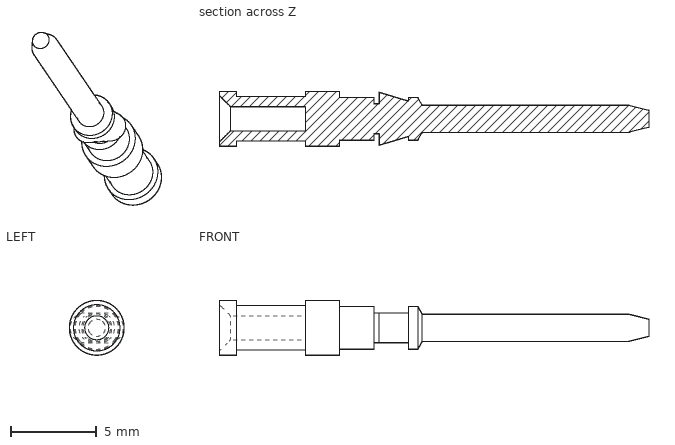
import cadquery as cq


total_length = 25.0
rim_end = 1.0
band_start = 5.0
band_end = 7.0
shoulder_end = 9.0
barb_start = 9.3
collar_start = 11.0
collar_end = 11.55
collar_chamfer_end = 11.8
tip_start = 23.8

rim_radius = 1.6
barrel_radius = 1.3
shoulder_radius = 1.25
neck_radius = 0.875
pin_radius = 0.8
tip_radius = 0.5

bore_radius = 0.7
bore_depth = band_start
lead_in_radius = 1.35
lead_in_depth = lead_in_radius - bore_radius

barb_wide_offset = 0.67
barb_narrow_offset = 0.16


def turn(profile):
    """Revolve a closed (axial, radial) outline about the X axis."""
    return cq.Workplane("XZ").polyline(profile).close().revolve(360, (0, 0, 0), (1, 0, 0))


def make_body():
    return turn([
        (0, 0),
        (0, rim_radius),
        (rim_end, rim_radius),
        (rim_end, barrel_radius),
        (band_start, barrel_radius),
        (band_start, rim_radius),
        (band_end, rim_radius),
        (band_end, shoulder_radius),
        (shoulder_end, shoulder_radius),
        (shoulder_end, neck_radius),
        (collar_start, neck_radius),
        (collar_start, shoulder_radius),
        (collar_end, shoulder_radius),
        (collar_chamfer_end, pin_radius),
        (tip_start, pin_radius),
        (total_length, tip_radius),
        (total_length, 0),
    ])


def make_bore():
    return turn([
        (0, 0),
        (0, lead_in_radius),
        (lead_in_depth, bore_radius),
        (bore_depth, bore_radius),
        (bore_depth, 0),
    ])


def make_barb():
    """Flat-topped barb with rounded sides, as thick as the neck and narrowing toward the collar."""
    thickness = 2 * neck_radius
    wide_length = thickness + 2 * barb_wide_offset
    narrow_length = thickness + 2 * barb_narrow_offset
    return (
        cq.Workplane("YZ", origin=(barb_start, 0, 0))
        .slot2D(wide_length, thickness)
        .workplane(offset=collar_start - barb_start)
        .slot2D(narrow_length, thickness)
        .loft(ruled=True)
    )


result = make_body().union(make_barb()).cut(make_bore())